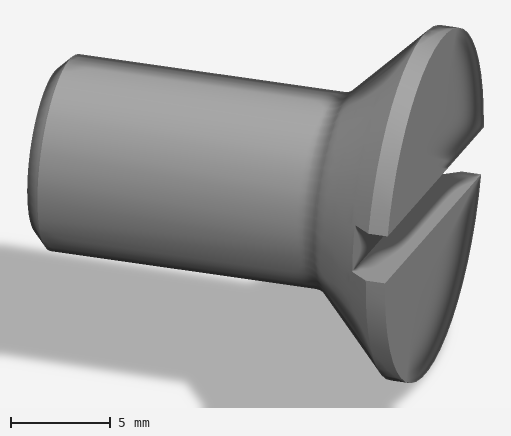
import cadquery as cq
import math

length = 20.0
shank_radius = 5.0
head_radius = 9.0
rim_height = 1.0
tip_chamfer = 0.75
cone_angle = 45.0
neck_fillet = 1.0
slot_width = 2.5
slot_depth = 2.0

slot_roll = 12.8
axis_tilt = 0.55


def make_body():
    """Revolve the shank, filleted neck, cone and head rim."""
    cone = math.radians(cone_angle)
    half_cone = cone / 2
    rim_start = length - rim_height
    neck = rim_start - (head_radius - shank_radius) / math.tan(cone)
    arc_start = neck - neck_fillet * math.tan(half_cone)

    def fillet_point(turn):
        """Point on the neck fillet after turning by the given angle."""
        return (
            arc_start + neck_fillet * math.sin(turn),
            shank_radius + neck_fillet * (1 - math.cos(turn)),
        )

    return (
        cq.Workplane("XY")
        .lineTo(0, shank_radius - tip_chamfer)
        .lineTo(tip_chamfer, shank_radius)
        .lineTo(arc_start, shank_radius)
        .threePointArc(fillet_point(half_cone), fillet_point(cone))
        .lineTo(rim_start, head_radius)
        .lineTo(length, head_radius)
        .lineTo(length, 0)
        .close()
        .revolve(360, (0, 0, 0), (1, 0, 0))
    )


def make_slot():
    """Driver slot running across the whole head."""
    slot_length = 2 * head_radius + slot_width
    return (
        cq.Workplane("XY")
        .box(2 * slot_depth, slot_length, slot_width)
        .translate((length, 0, 0))
    )


screw = make_body().cut(make_slot())
screw = screw.rotate((0, 0, 0), (1, 0, 0), -slot_roll)
result = screw.rotate((0, 0, 0), (0, 1, 0), -axis_tilt)